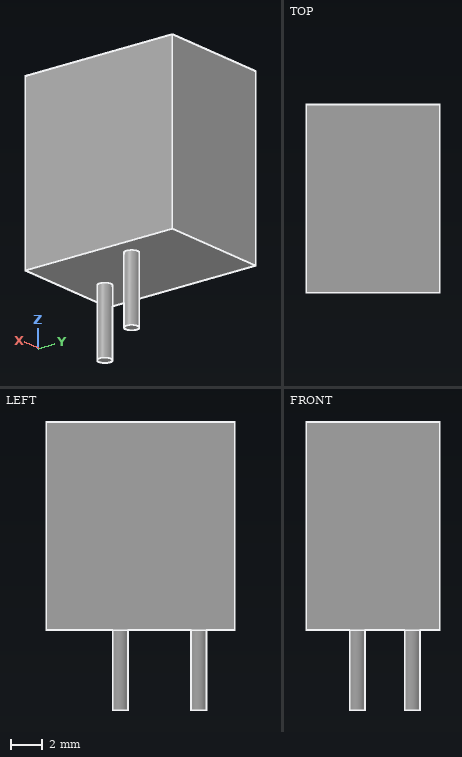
import cadquery as cq

total_height = 18.35
housing_width = 8.5
housing_depth = 12.0
housing_height = 13.25

pin_diameter = 1.0
pin_length = total_height - housing_height
pin_spacing_x = 3.5
pin_spacing_y = 5.0
pin_center_x = 0.75
pin_center_y = -1.21


def make_housing():
    """Plain rectangular block with its underside at Z = 0."""
    return cq.Workplane("XY").box(
        housing_width, housing_depth, housing_height, centered=(True, True, False)
    )


def make_pin(x, y):
    """Round pin hanging from the underside of the housing."""
    return cq.Workplane("XY").center(x, y).circle(pin_diameter / 2).extrude(-pin_length)


housing = make_housing()

pins = []
for side in (-1, 1):
    pin_x = pin_center_x + side * pin_spacing_x / 2
    pin_y = pin_center_y + side * pin_spacing_y / 2
    pins.append(make_pin(pin_x, pin_y))

result = cq.Compound.makeCompound([housing.val(), *[pin.val() for pin in pins]])